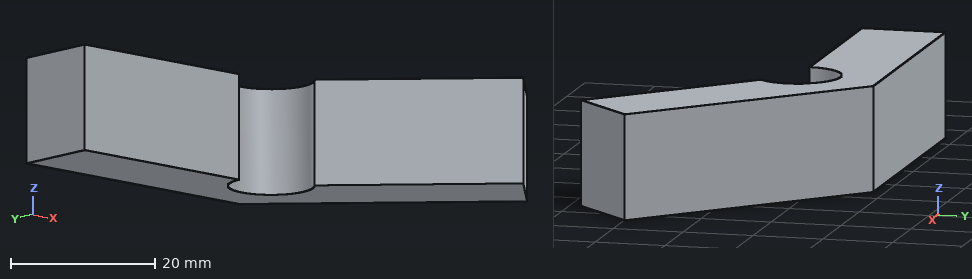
import cadquery as cq
import math

overall_length = 68.2
arm_width = 12.0
height = 15.0
relief_radius = 6.0
bend_angle = math.radians(45)

cos_bend = math.cos(bend_angle)
sin_bend = math.sin(bend_angle)
arm_length = overall_length / (1 + cos_bend)

inner_length = arm_length - arm_width * math.tan(bend_angle / 2)
inner_corner = (inner_length, -arm_width)

tip_outer = (overall_length, -arm_length * sin_bend)
tip_inner = (tip_outer[0] - arm_width * sin_bend, tip_outer[1] - arm_width * cos_bend)


def bent_bar():
    """Straight arm along X followed by an arm sloping toward -Y."""
    outline = [(0, 0), (arm_length, 0), tip_outer, tip_inner, inner_corner, (0, -arm_width)]
    return cq.Workplane("XY").polyline(outline).close().extrude(height)


def corner_relief():
    """Round relief through the full height, centred on the inner corner."""
    return cq.Workplane("XY").center(*inner_corner).circle(relief_radius).extrude(height)


result = bent_bar().cut(corner_relief())